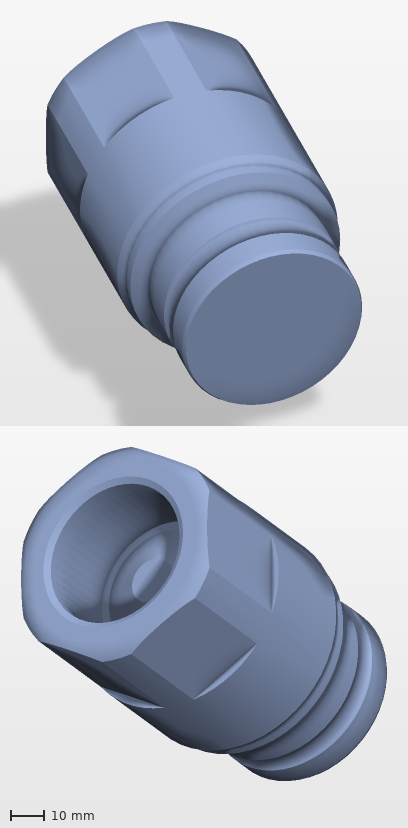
import cadquery as cq

length = 111.5
body_radius = 35.0

face_radius = 29.7
lip_length = 2.0

flat_count = 6
flat_distance = 32.6
flat_length = 37.7

body_end = 70.7
collar_start = 73.4
collar_end = 77.5
collar_radius = 33.3
neck_start = 80.4

neck_radius = 28.5
groove_center = 97.9
groove_half_width = 4.0
groove_depth = 2.3
end_chamfer_length = 1.2
end_chamfer_depth = 0.7

bore_radius = 22.5
bore_mouth_radius = 24.4
bore_chamfer_length = 1.1
bore_depth = 30.3
plug_base_radius = 20.0
plug_tip_radius = 7.1
plug_height = 7.8


def revolve_about_axis(profile):
    return profile.close().revolve(360, (0, 0, 0), (1, 0, 0))


def make_body():
    profile = (
        cq.Workplane("XY")
        .lineTo(0, face_radius)
        .tangentArcPoint((lip_length, body_radius), relative=False)
        .lineTo(body_end, body_radius)
        .lineTo(collar_start, collar_radius)
        .lineTo(collar_end, collar_radius)
        .lineTo(neck_start, neck_radius)
        .lineTo(groove_center - groove_half_width, neck_radius)
        .threePointArc(
            (groove_center, neck_radius - groove_depth),
            (groove_center + groove_half_width, neck_radius),
        )
        .lineTo(length - end_chamfer_length, neck_radius)
        .lineTo(length, neck_radius - end_chamfer_depth)
        .lineTo(length, 0)
    )
    return revolve_about_axis(profile)


def make_bore():
    """Space inside the bore, leaving the plug standing."""
    profile = (
        cq.Workplane("XY")
        .lineTo(0, bore_mouth_radius)
        .lineTo(bore_chamfer_length, bore_radius)
        .lineTo(bore_depth, bore_radius)
        .lineTo(bore_depth, plug_base_radius)
        .lineTo(bore_depth - plug_height, plug_tip_radius)
        .lineTo(bore_depth - plug_height, 0)
    )
    return revolve_about_axis(profile)


def make_flat_cutter(index):
    """Block that removes the material outside one wrench flat."""
    block = cq.Workplane("XY").box(
        flat_length, body_radius, 2 * body_radius, centered=(False, False, True)
    )
    angle = index * 360 / flat_count
    return block.translate((0, flat_distance, 0)).rotate((0, 0, 0), (1, 0, 0), angle)


result = make_body().cut(make_bore())
for flat_index in range(flat_count):
    result = result.cut(make_flat_cutter(flat_index))